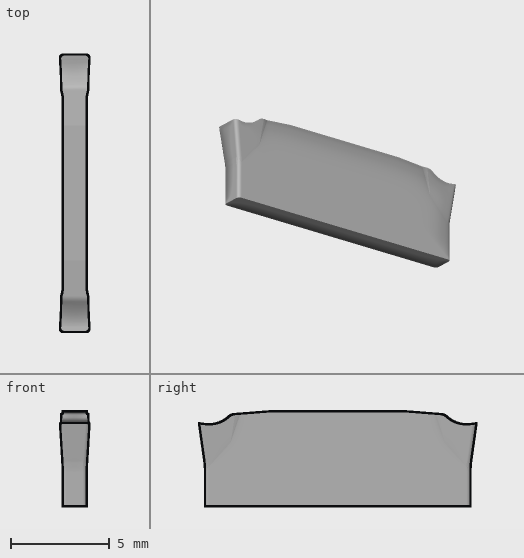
import cadquery as cq
import math

length = 14.03
height = 4.81
head_width = 1.53
blade_width = 1.23
blade_length = 13.43
corner_radius = 0.2

half_length = length / 2
blade_end = blade_length / 2
tip_height = 4.21
land_length = 0.3
land_drop = 0.04
groove_end = (5.5, 4.55)
crest_end = (5.19, 4.67)
flat_top_end = 3.41
relief_bottom = 2.25
relief_angle = 8.0
relief_blend_bottom = 1.75
relief_bottom_y = half_length - (tip_height - relief_bottom) * math.tan(math.radians(relief_angle))

pad_corner = (5.4, 3.21)
pad_rear_top = (4.91, 4.67)
pad_crease_top = (5.16, 4.67)
trim_y = half_length + 0.28
trim_z = height + 0.28


def make_profile():
    """Right half of the YZ outline, extruded to the full head width."""
    land_end = (half_length - land_length, tip_height - land_drop)
    slope_length = math.hypot(flat_top_end - crest_end[0], height - crest_end[1])
    slope_direction = (
        (flat_top_end - crest_end[0]) / slope_length,
        (height - crest_end[1]) / slope_length,
    )
    relief_middle_z = (relief_bottom + relief_blend_bottom) / 2
    relief_middle_y = blade_end + (relief_bottom_y - blade_end) / 4
    return (
        cq.Workplane("YZ")
        .moveTo(0, 0)
        .lineTo(blade_end, 0)
        .lineTo(blade_end, relief_blend_bottom)
        .threePointArc((relief_middle_y, relief_middle_z), (relief_bottom_y, relief_bottom))
        .lineTo(half_length, tip_height)
        .lineTo(*land_end)
        .tangentArcPoint(groove_end, relative=False)
        .tangentArcPoint(crest_end, relative=False)
        .lineTo(flat_top_end, height)
        .lineTo(0, height)
        .close()
        .extrude(head_width, both=True)
    )


def along(start, end, z):
    """Y on the line from start to end at height z."""
    return start[0] + (end[0] - start[0]) * (z - start[1]) / (end[1] - start[1])


lower_slope = (relief_blend_bottom - pad_corner[1]) / (blade_end - pad_corner[0])


def distance_above_lower_edge(y, z):
    return z - pad_corner[1] - lower_slope * (y - pad_corner[0])


def flank_x(y, z):
    """Half width of the plane flank, reaching the head width at the tip."""
    rise = (head_width - blade_width) / 2
    fraction = distance_above_lower_edge(y, z) / distance_above_lower_edge(half_length, tip_height)
    return blade_width / 2 + rise * fraction


def make_pad():
    """Flank wedge standing on the +X blade side."""
    side = blade_width / 2
    crease_y = along(pad_corner, pad_crease_top, trim_z)
    rear_y = along(pad_corner, pad_rear_top, trim_z)
    corner = (side, *pad_corner)
    low = (side, trim_y, pad_corner[1] + lower_slope * (trim_y - pad_corner[0]))
    inner_top = (side, trim_y, trim_z)
    outer_top = (flank_x(trim_y, trim_z), trim_y, trim_z)
    rear = (side, rear_y, trim_z)
    crease = (flank_x(crease_y, trim_z), crease_y, trim_z)
    outlines = [
        [corner, low, inner_top, rear],
        [corner, low, outer_top, crease],
        [corner, crease, rear],
        [rear, crease, outer_top, inner_top],
        [low, inner_top, outer_top],
    ]
    faces = []
    for outline in outlines:
        wire = cq.Wire.makePolygon([cq.Vector(*point) for point in outline], close=True)
        faces.append(cq.Face.makeFromWires(wire))
    return cq.Workplane(cq.Solid.makeSolid(cq.Shell.makeShell(faces)))


def round_corners(half):
    """Round the upright edges at the end of the half."""
    end_zone = cq.selectors.BoxSelector(
        (-head_width, blade_end - corner_radius, 0),
        (head_width, trim_y, tip_height),
    )
    upright = [
        edge
        for edge in half.edges(end_zone).vals()
        if abs(edge.Center().x) > blade_width / 4
        and edge.BoundingBox().zlen > 0.14
        and edge.Center().y > blade_end - corner_radius / 10
    ]
    return half.newObject(upright).fillet(corner_radius)


pad = make_pad()
blade = cq.Workplane("XY").box(blade_width, length, height).translate((0, half_length, height / 2))
envelope = blade.union(pad).union(pad.mirror("YZ"))
half = round_corners(make_profile().intersect(envelope))
result = half.union(half.mirror("XZ")).clean()